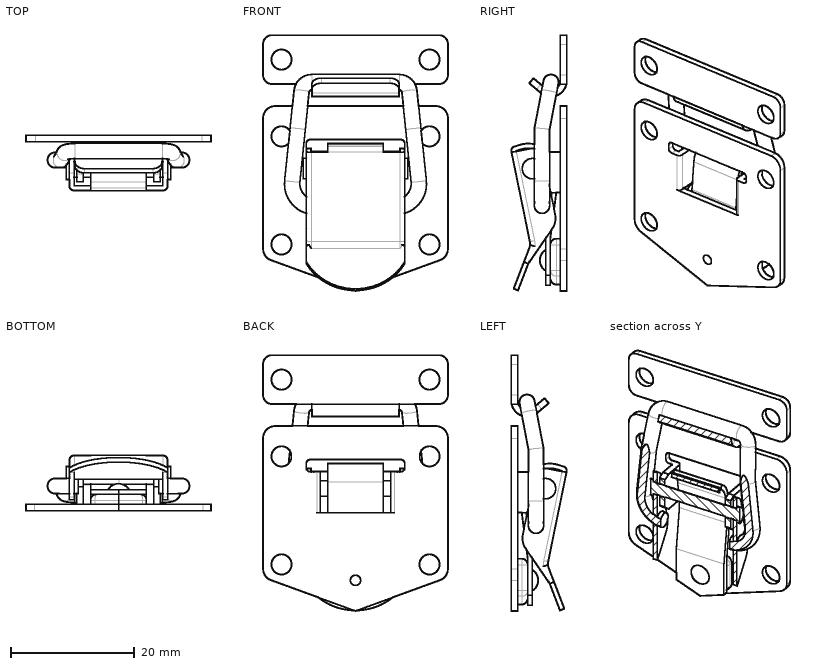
import cadquery as cq
import math


plate_width = 30.0
plate_thickness = 1.08
hole_radius = 1.6
hole_spacing = 24.0

keeper_top = 41.5
keeper_height = 7.95
keeper_bottom = keeper_top - keeper_height
keeper_corner_radius = 1.5

base_top = 30.0
base_corner_radius = 2.0
base_taper_angle = 20.0
base_hole_heights = (7.55, 25.05)

hook_width = 14.15
hook_outer_radius = 2.57
hook_inner_radius = hook_outer_radius - plate_thickness
hook_center_height = 34.07
lip_angle = 40.0
lip_length = 2.45

window_top = 24.53
window_width = 15.95
window_corner_radius = 0.62
lug_top = 22.58
lug_bottom = 15.95
lug_inner_width = 11.37
lug_shoulder_depth = 3.95
lug_tip_radius = 1.95
lug_bend_radius = 0.62

pin_depth = 5.55
pin_height = 19.85
pin_radius = 1.25
pin_head_radius = 1.65
pin_head_thickness = 0.55

sheet = 0.8
lever_width = 15.95
lever_tilt = 11.6
lever_edge_radius = 0.8
face_front = 2.82
wall_rear = -2.1
wall_top = 3.28
wall_rear_end = -9.3
wall_top_radius = 1.95
wall_rear_radius = 2.9
face_end = -12.05
bend_radius = 2.0
tab_lean = 21.0
tab_length = 7.65
tab_end_radius = 9.15
tab_angle = lever_tilt + tab_lean

tongue_width = 9.05
tongue_radius = 4.5
tongue_center = (0.75, -0.25)
tongue_slope = 5.5
tongue_end_angle = -34.0
tongue_edge_radius = 0.75

boss_height = 1.58
boss_width = tongue_width
boss_top = 8.5
boss_bottom = 1.05
boss_corner_radius = 1.0
boss_edge_radius = 0.95

spring_width = tongue_width
spring_back = plate_thickness + boss_height
spring_bottom = 0.9
spring_bend = (spring_back, boss_top)
spring_knee = (1.7, 15.85)
spring_point_drop = 1.65
spring_hook_radius = 3.95
spring_hook_center = (6.15, 20.6)
spring_hook_start = 175.0
spring_hook_end = 122.0

rivet_height = 5.0
rivet_head_radius = 1.7
rivet_head_height = 0.95
rivet_shank_radius = 0.85

wire_radius = 1.25
bail_drop = 0.2
bail_bar = (8.6, hook_outer_radius, hook_center_height - bail_drop)
bail_kink_height = 26.25
bail_foot_height = 13.6
bail_leg_depth = 4.03
bail_splay = 5.9
bail_top_bend = 1.7
bail_foot_bend = 3.78

SIDE = cq.Plane(origin=(0, 0, 0), xDir=(0, -1, 0), normal=(-1, 0, 0))

tilt = math.radians(lever_tilt)
LEVER = cq.Plane(
    origin=(0, -pin_depth, pin_height),
    xDir=(0, -math.cos(tilt), -math.sin(tilt)),
    normal=(-1, 0, 0),
)


def polar(center, radius, angle):
    """Point at an angle in degrees, counter-clockwise from the local x axis."""
    turn = math.radians(angle)
    return (center[0] + radius * math.cos(turn), center[1] + radius * math.sin(turn))


def across(profile, width):
    """Extrude a section profile symmetrically to a full width along X."""
    return profile.extrude(width / 2, both=True)


def cross_rod(radius, length, depth, height):
    """Cylinder along X, centred on X = 0."""
    return across(cq.Workplane(SIDE).center(depth, height).circle(radius), length)


def front_block(depth, thickness, points):
    """Prism with an (X, Z) outline, its back at a depth and growing forward."""
    return cq.Workplane("XZ", origin=(0, -depth, 0)).polyline(points).close().extrude(thickness)


def front_rod(radius, x, z, depth, length):
    """Cylinder along Y that starts at a depth and grows forward."""
    return cq.Workplane("XZ", origin=(x, -depth, z)).circle(radius).extrude(length)


def rectangle(width, bottom, top):
    half = width / 2
    return [(-half, bottom), (half, bottom), (half, top), (-half, top)]


def pointed_rectangle(width, point, shoulder, top):
    """Rectangle outline whose lower edge runs down to a point in the middle."""
    half = width / 2
    return [(0, point), (half, shoulder), (half, top), (-half, top), (-half, shoulder)]


def tangent_point(point, center, radius, side):
    """Where a line from a point touches a circle; side is +1 or -1."""
    dx = point[0] - center[0]
    dy = point[1] - center[1]
    spread = math.degrees(math.acos(radius / math.hypot(dx, dy)))
    return polar(center, radius, math.degrees(math.atan2(dy, dx)) + side * spread)


def drill_plate(plate, heights):
    for height in heights:
        for x in (-hole_spacing / 2, hole_spacing / 2):
            plate = plate.cut(front_rod(hole_radius, x, height, 0, plate_thickness))
    return plate


def make_keeper():
    plate = front_block(0, plate_thickness, rectangle(plate_width, keeper_bottom, keeper_top))
    plate = plate.edges("|Y").fillet(keeper_corner_radius)
    plate = drill_plate(plate, [(keeper_bottom + keeper_top) / 2])

    center = (hook_outer_radius, hook_center_height)
    lip_start = lip_angle - 90
    middle = (lip_start - 180) / 2
    inner_end = polar(center, hook_inner_radius, lip_start)
    outer_end = polar(center, hook_outer_radius, lip_start)
    curl = across(
        cq.Workplane(SIDE)
        .moveTo(*polar(center, hook_outer_radius, 180))
        .threePointArc(polar(center, hook_outer_radius, middle), outer_end)
        .lineTo(*polar(outer_end, lip_length, lip_angle))
        .lineTo(*polar(inner_end, lip_length, lip_angle))
        .lineTo(*inner_end)
        .threePointArc(
            polar(center, hook_inner_radius, middle), polar(center, hook_inner_radius, 180)
        )
        .close(),
        hook_width,
    )
    tip = polar(polar(outer_end, plate_thickness / 2, lip_angle + 90), lip_length, lip_angle)
    for side in (-1, 1):
        nearest = cq.selectors.NearestToPointSelector((side * hook_width / 2, -tip[0], tip[1]))
        curl = curl.edges(nearest).fillet(keeper_corner_radius)
    return plate.union(curl)


def make_lugs():
    """Pair of ears that carry the hinge pin."""
    pin = (pin_depth, pin_height)
    upper_shoulder = (lug_shoulder_depth, lug_top)
    lower_shoulder = (lug_shoulder_depth, lug_bottom)
    profile = (
        cq.Workplane(SIDE)
        .moveTo(0, lug_bottom)
        .lineTo(*lower_shoulder)
        .lineTo(*tangent_point(lower_shoulder, pin, lug_tip_radius, 1))
        .threePointArc(
            polar(pin, lug_tip_radius, 0), tangent_point(upper_shoulder, pin, lug_tip_radius, -1)
        )
        .lineTo(*upper_shoulder)
        .lineTo(0, lug_top)
        .close()
    )
    ears = across(profile, lug_inner_width + 2 * plate_thickness)
    gap = cq.Workplane("XY").box(lug_inner_width, 4 * pin_depth, 4 * pin_height)
    return ears.cut(gap)


def make_boss():
    """Rounded pad under the spring, as wide as the spring."""
    shoulder = boss_bottom + boss_width / 2 * math.tan(math.radians(base_taper_angle))
    outline = pointed_rectangle(boss_width, boss_bottom, shoulder, boss_top)
    boss = front_block(plate_thickness, boss_height, outline)
    boss = boss.edges("|Y").edges(">X or <X").fillet(boss_corner_radius)
    return boss.faces("<Y").edges().fillet(boss_edge_radius)


def make_base():
    shoulder = plate_width / 2 * math.tan(math.radians(base_taper_angle))
    plate = front_block(
        0, plate_thickness, pointed_rectangle(plate_width, 0, shoulder, base_top)
    )
    plate = plate.edges("|Y").edges(">X or <X").fillet(base_corner_radius)
    plate = drill_plate(plate, base_hole_heights)

    window = front_block(0, plate_thickness, rectangle(window_width, lug_top, window_top))
    window = window.edges("|Y").fillet(window_corner_radius)
    throat = front_block(0, plate_thickness, rectangle(lug_inner_width, lug_bottom, window_top))
    plate = plate.cut(window).cut(throat)

    base = plate.union(make_lugs())
    for side in (-1, 1):
        spot = (side * lug_inner_width / 2, 0, (lug_bottom + lug_top) / 2)
        nearest = cq.selectors.NearestToPointSelector(spot)
        base = base.edges("|Z").edges(nearest).fillet(lug_bend_radius)
    base = base.union(make_boss())
    base = base.cut(cross_rod(pin_radius, lever_width, pin_depth, pin_height))
    return base.cut(front_rod(rivet_shank_radius, 0, rivet_height, 0, spring_back))


def make_lever_channel():
    """Folded channel: the face, its two side walls and the start of the tab."""
    bend = (face_front, face_end)
    tab_direction = tab_angle - 90
    straight = tab_length - tab_end_radius + math.sqrt(tab_end_radius**2 - (lever_width / 2) ** 2)
    tab_front = polar(bend, straight, tab_direction)
    tab_rear = polar(tab_front, sheet, tab_direction - 90)
    walls = across(
        cq.Workplane(LEVER).polyline(
            [
                (face_front, wall_top),
                bend,
                tab_front,
                tab_rear,
                (wall_rear, wall_rear_end),
                (wall_rear, wall_top),
            ]
        ).close(),
        lever_width,
    )

    def cross_edge(point):
        spot = LEVER.toWorldCoords(point).toTuple()
        return cq.selectors.NearestToPointSelector(spot)

    walls = walls.edges("|X").edges(cross_edge((wall_rear, wall_top))).fillet(wall_top_radius)
    walls = walls.edges("|X").edges(cross_edge((wall_rear, wall_rear_end))).fillet(wall_rear_radius)
    walls = walls.edges("|X").edges(cross_edge(bend)).fillet(bend_radius)
    face_middle = (wall_top + face_end) / 2
    for side in (-1, 1):
        spot = LEVER.toWorldCoords((face_front, face_middle, side * lever_width / 2)).toTuple()
        walls = walls.edges(cq.selectors.NearestToPointSelector(spot)).fillet(lever_edge_radius)

    inner_bend = (face_front - sheet, face_end - sheet * math.tan(math.radians(tab_angle / 2)))
    hollow = across(
        cq.Workplane(LEVER).polyline(
            [
                (inner_bend[0], 2 * wall_top),
                inner_bend,
                polar(inner_bend, tab_length, tab_direction),
                (3 * wall_rear, 2 * face_end),
                (3 * wall_rear, 2 * wall_top),
            ]
        ).close(),
        lever_width - 2 * sheet,
    )
    return walls.cut(hollow)


def make_lever_tab():
    """Finger tab below the face, with a round end."""
    lean = math.radians(tab_lean)
    plane = cq.Plane(
        origin=LEVER.toWorldCoords((face_front, face_end)).toTuple(),
        xDir=(1, 0, 0),
        normal=(0, -math.cos(lean), math.sin(lean)),
    )
    slab = cq.Workplane(plane).center(0, -tab_length / 2).rect(lever_width, tab_length).extrude(-sheet)
    end = cq.Workplane(plane).center(0, tab_end_radius - tab_length).circle(tab_end_radius)
    return slab.intersect(end.extrude(-sheet))


def make_lever_tongue():
    inner_radius = tongue_radius - sheet
    start = 90 - tongue_slope
    end = 90 - tongue_end_angle
    middle = (start + end) / 2
    slope = math.tan(math.radians(tongue_slope))
    outer_start = polar(tongue_center, tongue_radius, start)
    inner_start = polar(tongue_center, inner_radius, start)
    face_rear = face_front - sheet
    corner = (face_front, outer_start[1] - slope * (face_front - outer_start[0]))
    tongue = across(
        cq.Workplane(LEVER)
        .moveTo(face_rear, wall_top - sheet)
        .lineTo(face_front, wall_top - sheet)
        .lineTo(*corner)
        .lineTo(*outer_start)
        .threePointArc(
            polar(tongue_center, tongue_radius, middle), polar(tongue_center, tongue_radius, end)
        )
        .lineTo(*polar(tongue_center, inner_radius, end))
        .threePointArc(polar(tongue_center, inner_radius, middle), inner_start)
        .lineTo(face_rear, inner_start[1] - slope * (face_rear - inner_start[0]))
        .close(),
        tongue_width,
    )
    spot = LEVER.toWorldCoords(corner).toTuple()
    nearest = cq.selectors.NearestToPointSelector(spot)
    return tongue.edges("|X").edges(nearest).fillet(tongue_edge_radius)


def make_lever(bail):
    lever = make_lever_channel().union(make_lever_tab()).union(make_lever_tongue())
    lever = lever.cut(cross_rod(pin_radius, lever_width, pin_depth, pin_height))
    return lever.cut(bail)


def make_hinge_pin():
    pin = cross_rod(pin_radius, lever_width, pin_depth, pin_height)
    heads = cross_rod(pin_head_radius, lever_width + 2 * pin_head_thickness, pin_depth, pin_height)
    between_heads = cq.Workplane("XY").box(lever_width, 4 * pin_depth, 4 * pin_height)
    return pin.union(heads.cut(between_heads))


def make_spring():
    """Leaf spring that is riveted to the boss and hooks over the lever tongue."""
    inner_radius = spring_hook_radius - sheet
    middle = (spring_hook_start + spring_hook_end) / 2
    center = spring_hook_center
    strip = across(
        cq.Workplane(SIDE)
        .moveTo(spring_back, spring_bottom)
        .lineTo(*spring_bend)
        .lineTo(*spring_knee)
        .lineTo(*polar(center, spring_hook_radius, spring_hook_start))
        .threePointArc(
            polar(center, spring_hook_radius, middle),
            polar(center, spring_hook_radius, spring_hook_end),
        )
        .lineTo(*polar(center, inner_radius, spring_hook_end))
        .threePointArc(
            polar(center, inner_radius, middle), polar(center, inner_radius, spring_hook_start)
        )
        .lineTo(spring_knee[0] + sheet, spring_knee[1])
        .lineTo(spring_bend[0] + sheet, spring_bend[1])
        .lineTo(spring_back + sheet, spring_bottom)
        .close(),
        spring_width,
    )
    outline = pointed_rectangle(
        spring_width, spring_bottom, spring_bottom + spring_point_drop, base_top
    )
    strip = strip.intersect(front_block(0, 2 * pin_depth, outline))
    return strip.cut(front_rod(rivet_shank_radius, 0, rivet_height, 0, 2 * pin_depth))


def make_rivet():
    seat = spring_back + sheet
    shank = front_rod(rivet_shank_radius, 0, rivet_height, 0, seat)
    dome_radius = (rivet_head_radius**2 + rivet_head_height**2) / (2 * rivet_head_height)
    dome_center = seat + rivet_head_height - dome_radius
    dome = cq.Workplane("XY").sphere(dome_radius).translate((0, -dome_center, rivet_height))
    head = dome.intersect(front_rod(rivet_head_radius, 0, rivet_height, seat, dome_radius))
    return shank.union(head)


def bend_points(before, corner, after, radius):
    """Start, middle and end of the arc that rounds a corner of a 3D path."""
    back = (before - corner).normalized()
    ahead = (after - corner).normalized()
    half_angle = back.getAngle(ahead) / 2
    reach = radius / math.tan(half_angle)
    bisector = (back + ahead).normalized()
    middle = corner + bisector * (radius / math.sin(half_angle) - radius)
    return corner + back * reach, middle, corner + ahead * reach


def make_bail():
    """Wire loop from one lever wall over the keeper hook to the other lever wall."""
    bar_x, bar_depth, bar_height = bail_bar
    splay = math.tan(math.radians(bail_splay))

    def leg_point(height, depth):
        return cq.Vector(bar_x + splay * (bar_height - height), -depth, height)

    center = cq.Vector(0, -bar_depth, bar_height)
    shoulder = leg_point(bar_height, bar_depth)
    kink = leg_point(bail_kink_height, bail_leg_depth)
    foot = leg_point(bail_foot_height, bail_leg_depth)
    inner = cq.Vector(0, -bail_leg_depth, bail_foot_height)
    bar_end, top_middle, leg_top = bend_points(center, shoulder, kink, bail_top_bend)
    leg_end, foot_middle, foot_end = bend_points(kink, foot, inner, bail_foot_bend)

    edges = [
        cq.Edge.makeLine(center, bar_end),
        cq.Edge.makeThreePointArc(bar_end, top_middle, leg_top),
        cq.Edge.makeLine(leg_top, kink),
        cq.Edge.makeLine(kink, leg_end),
        cq.Edge.makeThreePointArc(leg_end, foot_middle, foot_end),
    ]
    path = cq.Workplane(cq.Wire.assembleEdges(edges))
    section = cq.Workplane("YZ", origin=center.toTuple()).circle(wire_radius)
    half = section.sweep(path, transition="right")
    return half.union(half.mirror("YZ"))


bail = make_bail()
keeper = make_keeper()
base = make_base()
lever = make_lever(bail)
hinge_pin = make_hinge_pin()
spring = make_spring()
rivet = make_rivet()

bodies = [keeper, base, lever, hinge_pin, spring, rivet, bail]
result = cq.Compound.makeCompound([body.solids().val() for body in bodies])